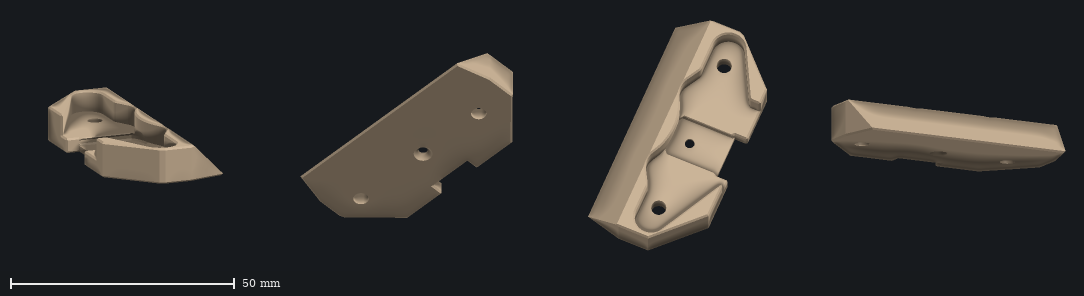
import cadquery as cq
import math

height = 8.2
front_y = -11.7
back_y = 14.13
left_x = -26.8
right_x = 26.85
edge_chamfer = 0.4
bevel_angle = 45
margin = 2.0

back_half_width = 24.65
end_slant = math.radians(14.5)
front_half_width = 16.5
right_facet_x = 26.35
facet_slant = math.radians(67.5)

tray_floor_z = 3.4
end_radius = 3.7
end_center_x = 21.8
tray_slant = math.radians(28)
tray_right_x = 12.6
tray_corner_facet = 0.35
bend_angle = math.radians(30)
bend_radius = 2.0
bulge_half_width = 7.35
crest_outer_x = 11.6
end_tangent_x = end_center_x + end_radius * math.sin(tray_slant)
end_tangent_y = -end_radius * math.cos(tray_slant)

notch_back_y = -8.7
notch_half_width = 5.33
channel_floor_z = 1.6
channel_roof_z = 2.75
channel_rim_half_width = notch_half_width - (tray_floor_z - channel_roof_z)
channel_back_y = 6.14
channel_back_radius = 7.64
channel_roof_height = 3.0

mount_hole_diameter = 3.4
mount_hole_xs = (-17.5, 19.5)
center_hole_diameter = 2.2
center_sink_depth = 1.0


def prism(points, bottom_z, top_z):
    """Upright prism on a plan polygon."""
    return cq.Workplane("XY").workplane(offset=bottom_z).polyline(points).close().extrude(top_z - bottom_z)


def make_body():
    """Plate with slanted ends, a front notch, a 45 degree back slope and chamfered edges."""
    slant_run = math.tan(end_slant)
    right_side_top = back_y - (right_x - back_half_width) / slant_run
    left_side_top = back_y - (-left_x - back_half_width) / slant_run
    left_side_bottom = front_y + (-left_x - front_half_width)
    facet_bottom = front_y + (right_facet_x - front_half_width)
    facet_top = facet_bottom + (right_x - right_facet_x) * math.tan(facet_slant)
    outline = [
        (-back_half_width, back_y),
        (left_x, left_side_top),
        (left_x, left_side_bottom),
        (-front_half_width, front_y),
        (front_half_width, front_y),
        (right_facet_x, facet_bottom),
        (right_x, facet_top),
        (right_x, right_side_top),
        (back_half_width, back_y),
    ]
    slope_top_y = back_y - (height - edge_chamfer)
    slope_wedge = (
        cq.Workplane("YZ")
        .moveTo(slope_top_y - margin, height + margin)
        .lineTo(back_y + margin, edge_chamfer - margin)
        .lineTo(back_y + margin, height + margin)
        .close()
        .extrude(right_x + margin, both=True)
    )
    notch = prism(
        [
            (-notch_half_width, notch_back_y),
            (notch_half_width, notch_back_y),
            (notch_half_width, front_y - margin),
            (-notch_half_width, front_y - margin),
        ],
        -margin,
        height + margin,
    )
    plate = prism(outline, 0, height).cut(notch).faces("<Z").edges().chamfer(edge_chamfer)
    sloped = plate.cut(slope_wedge)
    top_rim = sloped.faces(">Z").edges().filter(lambda edge: edge.Center().y < slope_top_y - edge_chamfer)
    return top_rim.chamfer(edge_chamfer)


def tray_left_wall_x(y):
    """X of the slanted left tray wall at a given y."""
    return -end_tangent_x + (end_tangent_y - y) / math.tan(tray_slant)


def tray_outline(plane):
    """Tray wall: two round ends, two crests and a bulge between them."""
    bulge_radius = bulge_half_width / math.sin(bend_angle)
    crest_base_y = end_radius + bulge_radius * (1 - math.cos(bend_angle))
    bend_x = crest_outer_x + (crest_base_y - end_radius) / math.tan(bend_angle)
    bend_length = bend_radius * math.tan(bend_angle / 2)
    bend_upper_x = bend_x - bend_length * math.cos(bend_angle)
    bend_upper_y = end_radius + bend_length * math.sin(bend_angle)
    open_y = front_y - margin
    right_corner_y = end_tangent_y - (end_tangent_x - tray_right_x) * math.tan(tray_slant)
    return (
        plane.moveTo(tray_left_wall_x(open_y), open_y)
        .lineTo(-end_tangent_x, end_tangent_y)
        .threePointArc(
            (-end_center_x - end_radius * math.cos(tray_slant), end_radius * math.sin(tray_slant)),
            (-end_center_x, end_radius),
        )
        .lineTo(-bend_x - bend_length, end_radius)
        .tangentArcPoint((-bend_upper_x, bend_upper_y), relative=False)
        .lineTo(-crest_outer_x, crest_base_y)
        .tangentArcPoint((-bulge_half_width, crest_base_y), relative=False)
        .threePointArc((0, end_radius), (bulge_half_width, crest_base_y))
        .tangentArcPoint((crest_outer_x, crest_base_y), relative=False)
        .lineTo(bend_upper_x, bend_upper_y)
        .tangentArcPoint((bend_x + bend_length, end_radius), relative=False)
        .lineTo(end_center_x, end_radius)
        .threePointArc(
            (end_center_x + end_radius * math.cos(tray_slant), end_radius * math.sin(tray_slant)),
            (end_tangent_x, end_tangent_y),
        )
        .lineTo(
            tray_right_x + tray_corner_facet * math.cos(tray_slant),
            right_corner_y + tray_corner_facet * math.sin(tray_slant),
        )
        .lineTo(tray_right_x, right_corner_y - tray_corner_facet)
        .lineTo(tray_right_x, open_y)
        .close()
    )


def make_tray():
    """Tray pocket with a bevelled lip along its top edge."""
    floor_plane = cq.Workplane("XY").workplane(offset=tray_floor_z)
    lip_plane = cq.Workplane("XY").workplane(offset=height - edge_chamfer)
    pocket = tray_outline(floor_plane).extrude(height + margin - tray_floor_z)
    lip = tray_outline(lip_plane).extrude(edge_chamfer, taper=-bevel_angle)
    return pocket.union(lip)


def channel_bay(start_z, length, taper):
    """Channel plan with a round back, drawn in from start_z by the taper."""
    back_center_y = channel_back_y - channel_back_radius
    side_end_y = back_center_y + math.sqrt(channel_back_radius**2 - notch_half_width**2)
    open_y = notch_back_y - margin
    return (
        cq.Workplane("XY")
        .workplane(offset=start_z)
        .moveTo(-notch_half_width, open_y)
        .lineTo(-notch_half_width, side_end_y)
        .threePointArc((0, channel_back_y), (notch_half_width, side_end_y))
        .lineTo(notch_half_width, open_y)
        .close()
        .extrude(length, taper=taper)
    )


def make_channel():
    """Sunken bay: chamfered floor edge, upright wall, roof leaning in at 45 degrees."""
    wall_base_z = channel_floor_z + edge_chamfer
    base = channel_bay(wall_base_z, -edge_chamfer, bevel_angle)
    wall = channel_bay(wall_base_z, channel_roof_z - wall_base_z, 0)
    roof = channel_bay(channel_roof_z, channel_roof_height, bevel_angle)
    return base.union(wall).union(roof)


def make_channel_rim():
    """Chamfer along the tray floor beside the channel, flaring out to the notch."""
    flare = notch_half_width - channel_rim_half_width
    rim_back_y = end_radius - edge_chamfer
    half = [
        (channel_rim_half_width, rim_back_y),
        (channel_rim_half_width, notch_back_y + flare),
        (notch_half_width, notch_back_y),
        (notch_half_width, front_y - margin),
    ]
    outline = half + [(-x, y) for x, y in reversed(half)]
    flared = prism(outline, channel_floor_z, tray_floor_z)
    chamfer_plane = cq.Workplane("XY").workplane(offset=tray_floor_z - edge_chamfer)
    return flared.union(chamfer_plane.polyline(outline).close().extrude(edge_chamfer, taper=-bevel_angle))


def make_front_chamfer():
    """Cutter that bevels the front edges of the tray opening and the notch."""
    bevel_back_y = front_y + edge_chamfer
    tray_left_x = tray_left_wall_x(bevel_back_y)
    opening = [
        (tray_left_x, height + margin),
        (tray_left_x, tray_floor_z),
        (-notch_half_width, tray_floor_z),
        (-notch_half_width, -margin),
        (notch_half_width, -margin),
        (notch_half_width, tray_floor_z),
        (tray_right_x, tray_floor_z),
        (tray_right_x, height + margin),
    ]
    plane = cq.Workplane("XZ", origin=(0, bevel_back_y, 0))
    return plane.polyline(opening).close().extrude(edge_chamfer, taper=-bevel_angle)


def make_holes():
    """Two mounting holes and a small centre hole countersunk from below."""
    top_z = height + margin
    mounts = (
        cq.Workplane("XY")
        .pushPoints([(x, 0) for x in mount_hole_xs])
        .circle(mount_hole_diameter / 2)
        .extrude(top_z)
    )
    center = cq.Workplane("XY").circle(center_hole_diameter / 2).extrude(top_z)
    sink = (
        cq.Workplane("XY")
        .workplane(offset=center_sink_depth)
        .circle(center_hole_diameter / 2)
        .extrude(-center_sink_depth, taper=-bevel_angle)
    )
    return mounts.union(center).union(sink)


result = make_body()
for cutter in (make_tray(), make_channel(), make_channel_rim(), make_front_chamfer(), make_holes()):
    result = result.cut(cutter)